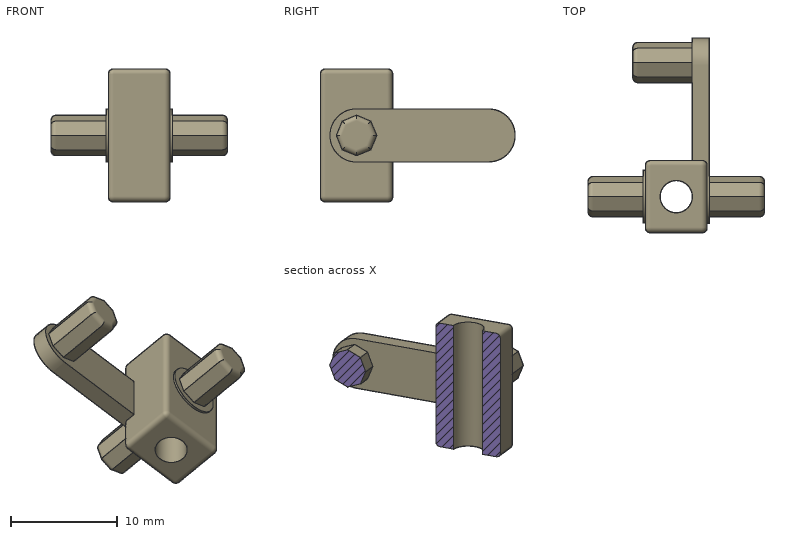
import cadquery as cq

block_x = 5.82
block_y = 6.8
block_z = 12.5
edge_radius = 0.5
bore_diameter = 3.0

collar_diameter = 5.0
collar_span = 6.2
pin_span = 16.6
pin_across_corners = 3.8

overall_y = 18.3
arm_thickness = 1.61
arm_pin_length = 5.58
arm_pin_y = 12.59

arm_outer_x = collar_span / 2
arm_inner_x = arm_outer_x - arm_thickness
arm_end_y = overall_y - block_y / 2 - collar_diameter / 2


def x_cylinder(diameter, x_start, x_end, y=0):
    """Cylinder along X between two positions."""
    return cq.Workplane("YZ", origin=(x_start, y, 0)).circle(diameter / 2).extrude(x_end - x_start)


def octagonal_pin(x_start, x_end, y=0):
    """Octagonal bar along X, corners on the Y and Z axes."""
    return cq.Workplane("YZ", origin=(x_start, y, 0)).polygon(8, pin_across_corners).extrude(x_end - x_start)


def make_block():
    return cq.Workplane("XY").box(block_x, block_y, block_z).edges().fillet(edge_radius)


def make_axle():
    """Collars proud of both block sides, and the pin rounded at its two free ends."""
    collars = x_cylinder(collar_diameter, -collar_span / 2, collar_span / 2)
    pin = octagonal_pin(-pin_span / 2, pin_span / 2).faces("<X or >X").edges().fillet(edge_radius)
    return collars.union(pin)


def make_arm():
    """Flat arm with a rounded end, carrying a pin that points to -X."""
    bar = cq.Workplane("XY").box(
        arm_thickness, arm_end_y, collar_diameter, centered=(False, False, True)
    ).translate((arm_inner_x, 0, 0))
    rounded_end = x_cylinder(collar_diameter, arm_inner_x, arm_outer_x, arm_end_y)
    pin = octagonal_pin(arm_inner_x - arm_pin_length, arm_inner_x, arm_pin_y)
    return bar.union(rounded_end).union(pin.faces("<X").edges().fillet(edge_radius))


bore = cq.Workplane("XY").circle(bore_diameter / 2).extrude(block_z, both=True)
result = make_block().union(make_axle()).union(make_arm()).cut(bore)